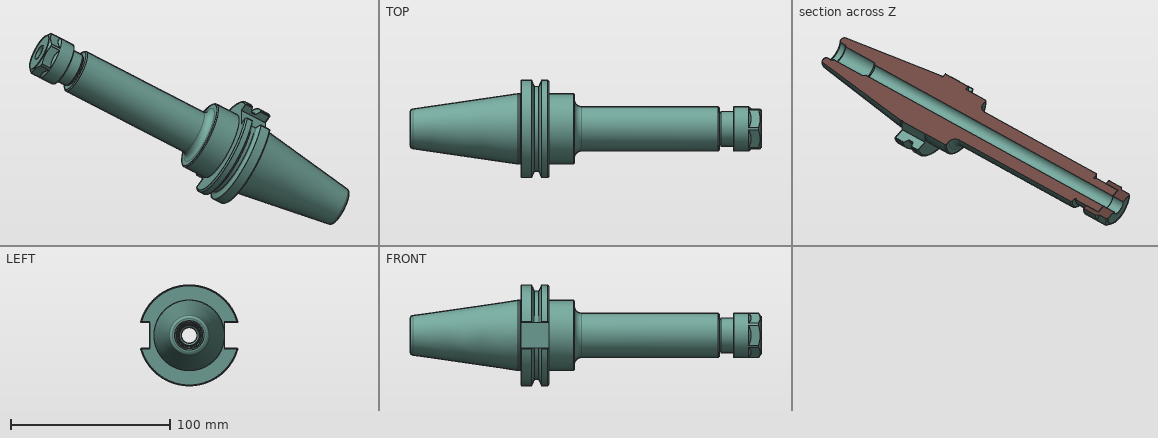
import cadquery as cq
import math

total_length = 220.65
taper_length = 68.25
flange_start = 69.5
flange_end = taper_length + 19.05
collar_end = taper_length + 34.93
shaft_end = 194.3
nut_start = 203.1
hex_start = 212.7

gauge_diameter = 44.45
gauge_radius = gauge_diameter / 2
taper_ratio = 7 / 24
small_end_radius = (gauge_diameter - taper_ratio * taper_length) / 2
small_end_fillet = 2.0
relief_start = 67.9
relief_end = 68.9
relief_chamfer_depth = 0.6
flange_radius = 63.5 / 2
flange_rear_chamfer = 0.55
flange_front_chamfer = 1.0
collar_chamfer = 0.7
shaft_radius = 14.0
shaft_fillet = 4.6
shaft_chamfer = 0.8
neck_radius = 11.0
undercut_radius = 20.5 / 2
undercut_width = 1.0

groove_center = taper_length + 11.2
groove_floor_radius = 55.8 / 2
groove_floor_half_width = 1.5
groove_top_half_width = 3.2
groove_floor_fillet = 0.5

slot_width = 16.1
slot_chamfer = 0.52
slot_floor_left = 24.9
slot_floor_right = 22.3

mouth_radius = 18.5 / 2
seat_outer_radius = 16.78 / 2
seat_inner_radius = 16.28 / 2
seat_depth = 0.3
counterbore_radius = 14.64 / 2
counterbore_chamfer = seat_inner_radius - counterbore_radius
counterbore_depth = 5.3
thread_mouth_radius = 13.39 / 2
thread_radius = 12.55 / 2
thread_chamfer = thread_mouth_radius - thread_radius
thread_depth = 28.0
drill_cone_length = 1.5
through_radius = 9.73 / 2

nut_radius = 14.0
nut_rear_chamfer = 0.4
hex_sides = 6
across_flats = 25.0
shoulder_length = 1.6
nose_radius = 23.56 / 2
nose_length = 0.35
hex_bevel_length = 1.35


def revolve_about_x(profile):
    return profile.close().revolve(360, (0, 0, 0), (1, 0, 0))


def holder_blank():
    profile = (
        cq.Workplane("XY")
        .lineTo(0, small_end_radius)
        .lineTo(relief_start, small_end_radius + taper_ratio / 2 * relief_start)
        .lineTo(relief_start, gauge_radius)
        .lineTo(relief_end, gauge_radius)
        .lineTo(flange_start, gauge_radius - relief_chamfer_depth)
        .lineTo(flange_start, flange_radius - flange_rear_chamfer)
        .lineTo(flange_start + flange_rear_chamfer, flange_radius)
        .lineTo(flange_end - flange_front_chamfer, flange_radius)
        .lineTo(flange_end, flange_radius - flange_front_chamfer)
        .lineTo(flange_end, gauge_radius)
        .lineTo(collar_end - collar_chamfer, gauge_radius)
        .lineTo(collar_end, gauge_radius - collar_chamfer)
        .lineTo(collar_end, shaft_radius + shaft_fillet)
        .radiusArc((collar_end + shaft_fillet, shaft_radius), -shaft_fillet)
        .lineTo(shaft_end - shaft_chamfer, shaft_radius)
        .lineTo(shaft_end, shaft_radius - shaft_chamfer)
        .lineTo(shaft_end, undercut_radius)
        .lineTo(shaft_end + undercut_width, undercut_radius)
        .lineTo(shaft_end + undercut_width, neck_radius)
        .lineTo(hex_start, neck_radius)
        .lineTo(hex_start, 0)
    )
    blank = revolve_about_x(profile)
    return blank.faces("<X").edges().fillet(small_end_fillet)


def gripper_groove():
    profile = (
        cq.Workplane("XY")
        .moveTo(groove_center - groove_top_half_width, flange_radius)
        .lineTo(groove_center - groove_floor_half_width, groove_floor_radius)
        .lineTo(groove_center + groove_floor_half_width, groove_floor_radius)
        .lineTo(groove_center + groove_top_half_width, flange_radius)
    )
    groove = revolve_about_x(profile)
    floor_edges = cq.selectors.RadiusNthSelector(0)
    return groove.edges(floor_edges).fillet(groove_floor_fillet)


def drive_slot(side, floor):
    half_width = slot_width / 2
    wide_half_width = half_width + slot_chamfer
    rim = math.sqrt(flange_radius**2 - wide_half_width**2)
    rim_flare = rim - slot_chamfer - half_width
    channel = (
        cq.Workplane("YZ", origin=(flange_start, 0, 0))
        .polyline([
            (side * floor, -half_width),
            (side * (rim - slot_chamfer), -half_width),
            (side * flange_radius, -(flange_radius - rim_flare)),
            (side * flange_radius, flange_radius - rim_flare),
            (side * (rim - slot_chamfer), half_width),
            (side * floor, half_width),
        ])
        .close()
        .extrude(flange_end - flange_start)
    )
    rear_flare = (
        cq.Workplane("XZ", origin=(0, side * floor, 0))
        .polyline([
            (flange_start, -wide_half_width),
            (flange_start + slot_chamfer, -half_width),
            (flange_start + slot_chamfer, half_width),
            (flange_start, wide_half_width),
        ])
        .close()
        .extrude(-side * flange_radius)
    )
    return channel.union(rear_flare)


def holder_bore():
    profile = (
        cq.Workplane("XY")
        .lineTo(0, mouth_radius)
        .lineTo(seat_depth, seat_outer_radius)
        .lineTo(seat_depth, seat_inner_radius)
        .lineTo(seat_depth + counterbore_chamfer, counterbore_radius)
        .lineTo(counterbore_depth, counterbore_radius)
        .lineTo(counterbore_depth, thread_mouth_radius)
        .lineTo(counterbore_depth + thread_chamfer, thread_radius)
        .lineTo(thread_depth, thread_radius)
        .lineTo(thread_depth + drill_cone_length, through_radius)
        .lineTo(total_length, through_radius)
        .lineTo(total_length, 0)
    )
    return revolve_about_x(profile)


def make_holder():
    return (
        holder_blank()
        .cut(gripper_groove())
        .cut(drive_slot(1, slot_floor_left))
        .cut(drive_slot(-1, slot_floor_right))
        .cut(holder_bore())
    )


def nut_collar():
    profile = (
        cq.Workplane("XY")
        .moveTo(nut_start, 0)
        .lineTo(nut_start, nut_radius - nut_rear_chamfer)
        .lineTo(nut_start + nut_rear_chamfer, nut_radius)
        .lineTo(hex_start, nut_radius)
        .lineTo(hex_start + shoulder_length, across_flats / 2)
        .lineTo(hex_start + shoulder_length, 0)
    )
    return revolve_about_x(profile)


def nut_hex_envelope():
    nose_start = total_length - nose_length
    profile = (
        cq.Workplane("XY")
        .moveTo(hex_start, 0)
        .lineTo(hex_start, nut_radius)
        .lineTo(nose_start - hex_bevel_length, nut_radius)
        .lineTo(nose_start, nose_radius)
        .lineTo(total_length, nose_radius)
        .lineTo(total_length, 0)
    )
    return revolve_about_x(profile)


def nut_hex():
    across_corners = across_flats / math.cos(math.pi / hex_sides)
    flat_facing_angle = 90
    prism = (
        cq.Workplane("YZ", origin=(hex_start, 0, 0))
        .polygon(hex_sides, across_corners)
        .extrude(total_length - hex_start)
        .rotate((0, 0, 0), (1, 0, 0), flat_facing_angle)
    )
    return prism.intersect(nut_hex_envelope())


def nut_bore():
    profile = (
        cq.Workplane("XY")
        .moveTo(nut_start, 0)
        .lineTo(nut_start, neck_radius)
        .lineTo(hex_start, neck_radius)
        .lineTo(hex_start, through_radius)
        .lineTo(total_length, through_radius)
        .lineTo(total_length, 0)
    )
    return revolve_about_x(profile)


def make_nut():
    return nut_collar().union(nut_hex()).cut(nut_bore())


holder = make_holder()
nut = make_nut()

result = cq.Compound.makeCompound([holder.val(), nut.val()])